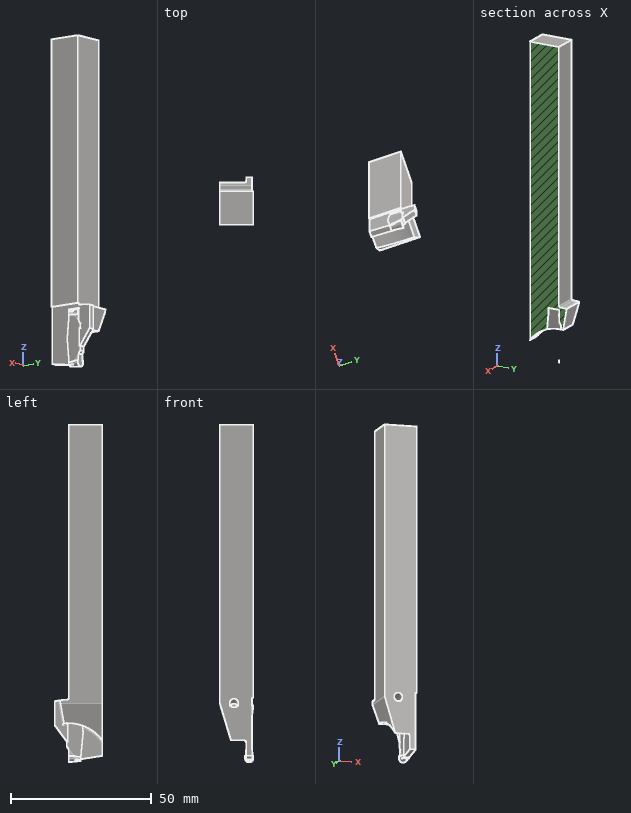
import cadquery as cq
import math


shank_size = 12.0
overall_length = 120.19
head_height = 17.0

blade_thickness = 2.2
side_relief = 0.4
blade_right = shank_size - side_relief
blade_left = blade_right - blade_thickness
relief_top = 23.0

shelf_z = 22.3
shelf_flat_end = 14.1
shelf_fillet = 0.6
clamp_angle = math.radians(10)

upper_jaw_corner_z = 13.2
upper_jaw_tip = (12.7, 7.4)
lower_jaw_back_z = 2.3
lower_jaw_tip_z = 1.1

support_top_y = 15.1
arc_center_y = 12.3
arc_peak_z = 14.0
arc_back_z = 7.8
root_fillet = 0.6
flank_start_z = 21.1
flank_inset = 4.0

screw_diameter = 3.0
screw_x = 5.1
screw_z = 21.1
screw_tilt = 15.0
screw_depth = 6.4

insert_length = 21.2
cutting_height = shank_size
nose_radius = shank_size - blade_left - blade_thickness / 2
tip_height = 2.3
neck_height = 4.6
neck_flare = 0.2
clearance_angle = 6.0
stem_base_z = 0.9
heel_y = 7.65
seat_y = 6.85
clamp_seat_y = 12.3
deflector_y = upper_jaw_tip[0]
deflector_low_z = 5.7

blade_mid_x = (blade_left + blade_right) / 2
insert_mid_z = insert_length / 2


def along_x(points, x_start, x_end):
    """Prism of a closed (Y, Z) outline between two X positions."""
    return cq.Workplane("YZ", origin=(x_start, 0, 0)).polyline(points).close().extrude(x_end - x_start)


def cutting_head():
    """Full-radius nose, widest at the cutting height and relieved towards -Y."""
    depth = cutting_height - heel_y
    neck_half_width = blade_thickness / 2 + neck_flare
    return (
        cq.Workplane("XZ", origin=(blade_mid_x, cutting_height, 0))
        .moveTo(-nose_radius, nose_radius)
        .threePointArc((0, 0), (nose_radius, nose_radius))
        .lineTo(nose_radius, tip_height)
        .lineTo(neck_half_width, tip_height)
        .lineTo(blade_thickness / 2, neck_height)
        .lineTo(-blade_thickness / 2, neck_height)
        .lineTo(-neck_half_width, tip_height)
        .lineTo(-nose_radius, tip_height)
        .close()
        .extrude(depth, taper=clearance_angle)
    )


def half_outline(end_z):
    """(Y, Z) outline of the lower half of the insert, with a raised chip deflector behind the head."""
    return [
        (heel_y, end_z),
        (cutting_height, end_z),
        (cutting_height, neck_height),
        (deflector_y, deflector_low_z),
        (deflector_y, upper_jaw_tip[1]),
        (clamp_seat_y, upper_jaw_tip[1]),
        (clamp_seat_y, insert_mid_z),
        (seat_y, insert_mid_z),
        (heel_y, tip_height),
    ]


def mirrored(half):
    """Join a lower half with its mirror image about mid-length."""
    return half.union(half.mirror("XY", (0, 0, insert_mid_z)))


def make_insert():
    half_stem = along_x(half_outline(stem_base_z), blade_left, blade_right)
    return mirrored(half_stem.union(cutting_head()))


def shelf_height(y):
    """Z of the tilted part of the shelf."""
    return shelf_z - (y - shelf_flat_end) * math.tan(clamp_angle)


def shank():
    return cq.Workplane("XY", origin=(0, 0, shelf_z)).rect(shank_size, shank_size, centered=False).extrude(
        overall_length - shelf_z
    )


def blade():
    outline = [
        (0, lower_jaw_back_z),
        (heel_y, lower_jaw_tip_z),
        (heel_y, tip_height),
        upper_jaw_tip,
        (head_height, upper_jaw_corner_z),
        (head_height, shelf_height(head_height)),
        (shelf_flat_end, shelf_z),
        (0, shelf_z),
    ]
    return along_x(outline, blade_left, shank_size)


def support():
    """Thick part of the head beside the blade, with an arched underside."""
    rise = arc_peak_z - arc_back_z
    arc_radius = (arc_center_y**2 + rise**2) / (2 * rise)
    arc_center_z = arc_peak_z - arc_radius

    def arc_point(y):
        return y, arc_center_z + math.sqrt(arc_radius**2 - (y - arc_center_y) ** 2)

    top_z = shelf_height(support_top_y)
    front_y = support_top_y - (top_z - arc_peak_z) * math.tan(clamp_angle)
    return (
        cq.Workplane("YZ")
        .moveTo(0, shelf_z)
        .lineTo(*arc_point(0))
        .threePointArc(arc_point(front_y / 2), arc_point(front_y))
        .lineTo(support_top_y, top_z)
        .lineTo(shelf_flat_end, shelf_z)
        .close()
        .extrude(blade_left)
    )


def flank_cut():
    """Wedge that slopes the -X flank of the head."""
    slope = flank_inset / (flank_start_z - arc_back_z)
    return (
        cq.Workplane("XZ")
        .polyline([(0, flank_start_z), (slope * flank_start_z, 0), (0, 0)])
        .close()
        .extrude(-head_height)
    )


def side_relief_cut():
    return cq.Workplane("XY").box(side_relief, head_height, relief_top, centered=False).translate(
        (blade_right, 0, 0)
    )


def screw_hole():
    """Blind hole from the -Y face that dips as it goes in."""
    lead = screw_diameter
    tilt = math.radians(screw_tilt)
    axis = cq.Vector(0, math.cos(tilt), -math.sin(tilt))
    start = cq.Vector(screw_x, 0, screw_z) - axis * lead
    return cq.Workplane(cq.Solid.makeCylinder(screw_diameter / 2, lead + screw_depth, start, axis))


def insert_pocket():
    """Slot as wide as the cutting heads, so that the inner head can slide in."""
    return mirrored(along_x(half_outline(0), blade_mid_x - nose_radius, shank_size))


def make_holder():
    body = blade().union(support())
    margin = 0.01
    root_edges = cq.selectors.BoxSelector(
        (blade_left - margin, 0, (arc_back_z + arc_peak_z) / 2),
        (blade_left + margin, support_top_y, shelf_z - margin),
    )
    body = body.edges(root_edges).fillet(root_fillet)
    body = body.union(shank())
    inner = cq.selectors.NearestToPointSelector((shank_size / 2, shank_size, shelf_z))
    body = body.edges("|X").edges(inner).fillet(shelf_fillet)
    return body.cut(flank_cut()).cut(side_relief_cut()).cut(screw_hole()).cut(insert_pocket())


insert = make_insert()
holder = make_holder()

result = cq.Compound.makeCompound([holder.val(), insert.val()])